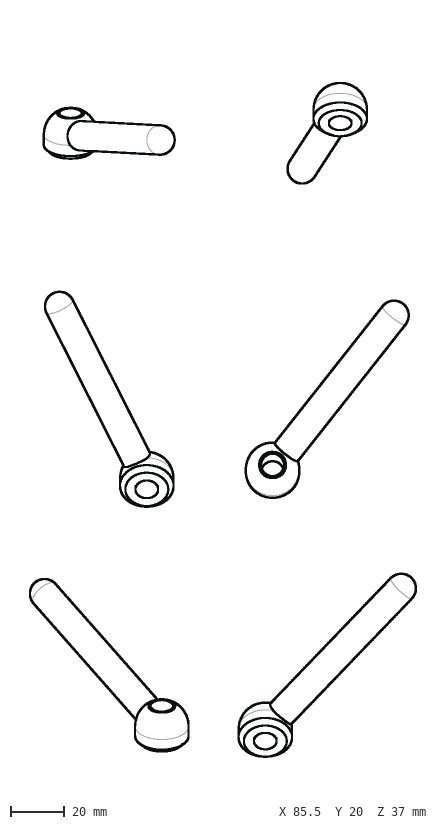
import cadquery as cq
import math

hub_radius = 10.0
hub_height = 15.0
top_flat_radius = 5.0
base_chamfer = 2.0
bore_diameter = 8.5

arm_radius = 5.5
arm_slope = math.radians(20)
arm_full_length = 80.0
overall_height = 37.0

ball_center_height = hub_height - math.sqrt(hub_radius**2 - top_flat_radius**2)
rod_length = arm_full_length - arm_radius
arm_end_x = rod_length * math.cos(arm_slope)
arm_end_z = overall_height - arm_radius
arm_start_z = arm_end_z - rod_length * math.sin(arm_slope)


def make_hub():
    """Chamfered cylindrical base under a ball that is cut flat on top."""
    dome_mid = hub_radius * math.sqrt(0.5)
    profile = (
        cq.Workplane("XZ")
        .lineTo(hub_radius - base_chamfer, 0)
        .lineTo(hub_radius, base_chamfer)
        .lineTo(hub_radius, ball_center_height)
        .threePointArc((dome_mid, ball_center_height + dome_mid), (top_flat_radius, hub_height))
        .lineTo(0, hub_height)
        .close()
    )
    return profile.revolve(360, (0, 0, 0), (0, 1, 0))


def make_arm():
    """Sloping rod from the hub axis, ending in a hemisphere of the same radius."""
    rod_plane = cq.Plane(
        origin=(0, 0, arm_start_z),
        xDir=(0, 1, 0),
        normal=(math.cos(arm_slope), 0, math.sin(arm_slope)),
    )
    rod = cq.Workplane(rod_plane).circle(arm_radius).extrude(rod_length)
    round_end = cq.Workplane("XY").sphere(arm_radius).translate((arm_end_x, 0, arm_end_z))
    return rod.union(round_end)


def make_bore():
    """Vertical hole through the whole hub."""
    return cq.Workplane("XY").circle(bore_diameter / 2).extrude(hub_height)


result = make_hub().union(make_arm()).cut(make_bore())